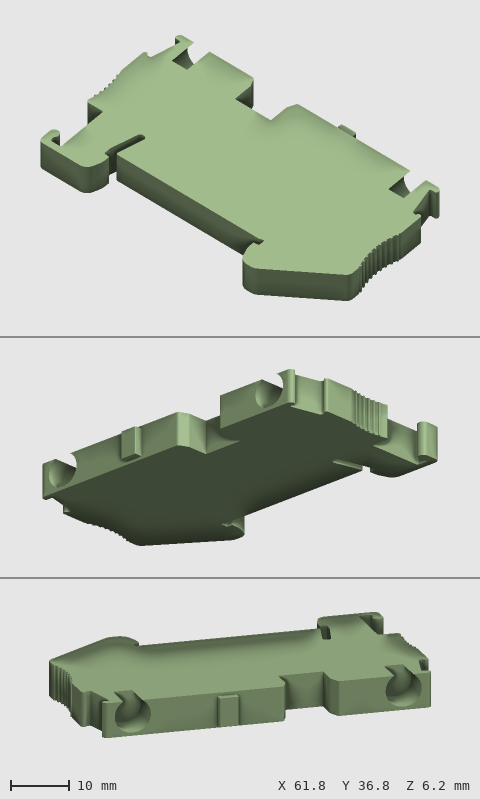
import math

import cadquery as cq

length = 61.8
thickness = 6.2
body_top = 35.3

tab_left = 36.55
tab_width = 3.4
tab_top = 36.8
tab_inset = 0.55
tab_corner_radius = 0.2

lip_end = 1.7
lip_bottom = 34.0
neck_top_x = 3.2
neck_bottom_x = 1.75
notch_floor = 27.75
bump_bottom_x = 1.1
bump_top_x = 0.65
bump_top = 28.25
lip_top_radius = 0.85
lip_bottom_radius = 0.35
neck_top_radius = 0.3
neck_bottom_radius = 0.45
bump_foot_radius = 0.2
bump_inner_radius = 0.25
bump_outer_radius = 0.5

opening_left = 19.2
opening_right = 27.2
opening_floor = 29.3
opening_shoulder = 33.4
opening_flare = 0.85
opening_top_right_radius = 0.6
opening_shoulder_radius = 0.3
opening_top_left_radius = 0.5

grip_radius = 14.8
grip_center_y = 17.15
left_grip_depth = 0.85
right_grip_depth = 1.1
ridge_pitch = 1.22
ridge_width = 0.35
ridge_height = 0.28
left_ridges = range(-2, 4)
right_ridges = range(-4, 5)

foot_left = 0.25
shelf_y = 12.5
foot_web_x = 4.15
hook_floor = 1.35
hook_throat_x = 1.8
hook_throat_top = 2.3
hook_nose_x = 2.2
hook_nose_y = 2.9
hook_nose_lean = 0.2
hook_top = 4.05
toe_right = 12.05
toe_top = 4.75
catch_x = 10.85
catch_y = 4.9
slot_bend_y = 6.5
slot_top_left = 12.45
slot_top_right = 14.0
seat_left = 12.5
seat_y = 6.05
seat_right = 44.3
claw_slot_top = 6.4
claw_slot_x = 45.3
claw_left = 44.18
toe_knee_y = 3.1
toe_knee_offset = 1.15
toe_side_radius = 4.0
toe_bottom_radius = 2.0
claw_bottom_right = 48.3
ramp_top = 9.3
shelf_radius = 0.7
web_radius = 0.3
hook_floor_radius = 0.45
hook_throat_radius = 0.25
hook_nose_radius = 0.3
hook_top_inner_radius = 0.7
hook_top_outer_radius = 1.0
foot_corner_radius = 1.05
catch_radius = 0.1
slot_bend_radius = 0.8
slot_top_radius = 0.6
seat_corner_radius = 0.25
claw_slot_radius = 0.2
ramp_bottom_radius = 2.2
ramp_top_radius = 1.5

groove_centers = (6.74, 54.94)
groove_end_y = 29.45
groove_opening = 3.4
groove_floor_flat = 0.42
groove_radius = 3.0


def rounded_wire(corners):
    """Closed outline through (x, y, radius) corners, each rounded by a tangent arc."""
    outline = None
    for index, (x, y, radius) in enumerate(corners):
        corner = cq.Vector(x, y)
        previous = cq.Vector(*corners[index - 1][:2])
        following = cq.Vector(*corners[(index + 1) % len(corners)][:2])
        to_previous = (previous - corner).normalized()
        to_following = (following - corner).normalized()
        half_angle = to_previous.getAngle(to_following) / 2
        setback = radius / math.tan(half_angle)
        start = corner + to_previous * setback
        if outline is None:
            outline = cq.Workplane("XY").moveTo(start.x, start.y)
        else:
            outline = outline.lineTo(start.x, start.y)
        if radius > 0:
            bisector = (to_previous + to_following).normalized()
            middle = corner + bisector * (radius / math.sin(half_angle) - radius)
            end = corner + to_following * setback
            outline = outline.threePointArc((middle.x, middle.y), (end.x, end.y))
    return outline.close()


def upper_end_corners():
    """Lip, notch and bump of the left end, listed from the top edge downwards."""
    return [
        (lip_end, body_top, lip_top_radius),
        (lip_end, lip_bottom, lip_bottom_radius),
        (neck_top_x, lip_bottom, neck_top_radius),
        (neck_bottom_x, notch_floor, neck_bottom_radius),
        (bump_bottom_x, notch_floor, bump_foot_radius),
        (bump_top_x, bump_top, bump_inner_radius),
        (0, bump_top, bump_outer_radius),
    ]


def mirrored(corners):
    """The same corners reflected to the right end, in reversed order."""
    return [(length - x, y, radius) for x, y, radius in reversed(corners)]


def make_body():
    foot = [
        (0, grip_center_y, 0),
        (foot_left, grip_center_y, 0),
        (foot_left, shelf_y, shelf_radius),
        (foot_web_x, shelf_y, web_radius),
        (foot_web_x, hook_floor, web_radius),
        (hook_throat_x, hook_floor, hook_floor_radius),
        (hook_throat_x, hook_throat_top, hook_throat_radius),
        (hook_nose_x, hook_nose_y, hook_nose_radius),
        (hook_nose_x - hook_nose_lean, hook_top, hook_top_inner_radius),
        (foot_left, hook_top, hook_top_outer_radius),
        (foot_left, 0, foot_corner_radius),
        (toe_right - toe_knee_offset, 0, toe_bottom_radius),
        (toe_right, toe_knee_y, toe_side_radius),
        (toe_right, toe_top, 0),
        (catch_x, catch_y, catch_radius),
    ]
    spring_slot = [
        (catch_x, slot_bend_y, slot_bend_radius),
        (slot_top_left, shelf_y, slot_top_radius),
        (slot_top_right, shelf_y, slot_top_radius),
        (seat_left, slot_bend_y, slot_bend_radius),
        (seat_left, seat_y, seat_corner_radius),
    ]
    claw = [
        (seat_right, seat_y, 0),
        (claw_slot_x, claw_slot_top, claw_slot_radius),
        (claw_slot_x, catch_y, claw_slot_radius),
        (claw_left, toe_top, 0),
        (claw_left, toe_knee_y, toe_side_radius),
        (claw_left + toe_knee_offset, 0, toe_bottom_radius),
        (claw_bottom_right, 0, ramp_bottom_radius),
        (length, ramp_top, ramp_top_radius),
    ]
    opening = [
        (opening_right + opening_flare, body_top, opening_top_right_radius),
        (opening_right, opening_shoulder, opening_shoulder_radius),
        (opening_right, opening_floor, 0),
        (opening_left, opening_floor, 0),
        (opening_left, opening_shoulder, opening_shoulder_radius),
        (opening_left - opening_flare, body_top, opening_top_left_radius),
    ]
    left_end = upper_end_corners()
    right_end = mirrored(left_end)
    corners = left_end + foot + spring_slot + claw + right_end + opening
    return rounded_wire(corners).extrude(thickness)


def make_grip_cutter(side, deepest_x, ridge_numbers):
    """Round cutter with ridge gaps; side is -1 on the left end and +1 on the right end."""
    center_x = deepest_x + side * grip_radius
    plane = cq.Workplane("XY").center(center_x, grip_center_y)
    cutter = plane.circle(grip_radius).extrude(thickness)
    ridge_tips = plane.circle(grip_radius - ridge_height).extrude(thickness)
    for number in ridge_numbers:
        ridge = plane.center(0, number * ridge_pitch).rect(2 * grip_radius, ridge_width).extrude(thickness)
        cutter = cutter.cut(ridge.cut(ridge_tips))
    return cutter


def make_groove(center_x):
    """Rounded channel along Y, wider inside than at the top face."""
    half_chord = (groove_opening - groove_floor_flat) / 2
    axis_depth = math.sqrt(groove_radius**2 - half_chord**2)
    return (
        cq.Workplane("XZ", origin=(center_x, body_top, thickness - axis_depth))
        .slot2D(groove_floor_flat + 2 * groove_radius, 2 * groove_radius)
        .extrude(body_top - groove_end_y)
    )


def make_tab():
    return (
        cq.Workplane("XY", origin=(tab_left, opening_floor, tab_inset))
        .rect(tab_width, tab_top - opening_floor, centered=False)
        .extrude(thickness - 2 * tab_inset)
        .edges("|Z and >Y")
        .fillet(tab_corner_radius)
    )


result = make_body()
result = result.cut(make_grip_cutter(-1, left_grip_depth, left_ridges))
result = result.cut(make_grip_cutter(1, length - right_grip_depth, right_ridges))
for groove_center in groove_centers:
    result = result.cut(make_groove(groove_center))
result = result.union(make_tab())